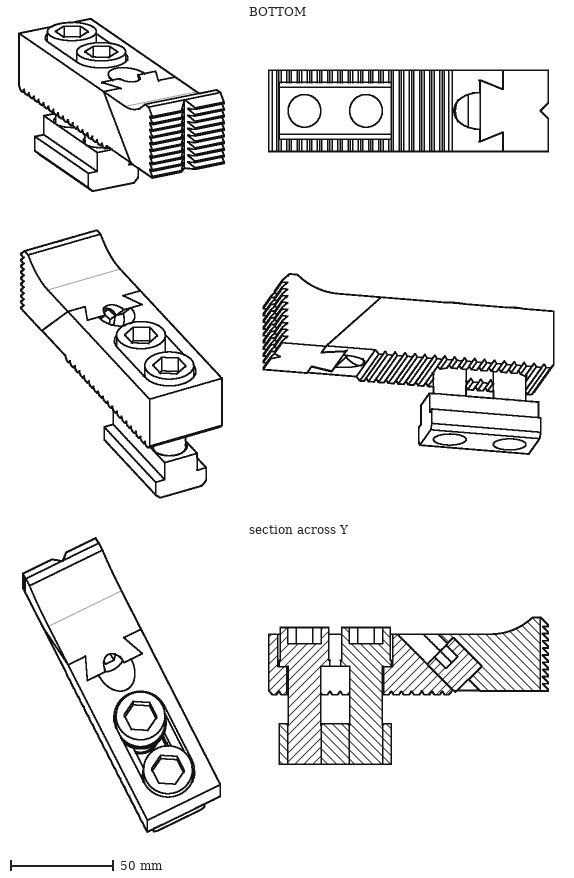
import cadquery as cq
import math

LENGTH = 137.0
WIDTH = 40.0
JAW_TOP = 72.0
BODY_TOP = 63.8
BODY_BASE = 36.2
JAW_BASE = 35.9
TOOTH_TIP = 34.1

SERRATED_LENGTH = 90.0
SERRATION_COUNT = 18
SERRATION_PITCH = SERRATED_LENGTH / SERRATION_COUNT
GROOVE_HALF_WIDTH = 1.1
GROOVE_DEPTH = 1.8
SERRATION_END_SLOPE = 1.8

JOINT_TOP_X = 87.0
DOVETAIL_DEPTH = 8.0
DOVETAIL_HALF_WIDTH = 15.1
DOVETAIL_FLANK = 60.0
NECK_HALF_WIDTH = DOVETAIL_HALF_WIDTH - DOVETAIL_DEPTH / math.tan(math.radians(DOVETAIL_FLANK))
TONGUE_TOP_X = JOINT_TOP_X - DOVETAIL_DEPTH * math.sqrt(2)

SCOOP_RADIUS = 30.0
CREST_START_X = 129.3
NOSE_CHAMFER = 3.7
NOTCH_DEPTH = 3.8
JAW_GROOVE_DEPTH = 2.7
JAW_GROOVE_COUNT = 9
JAW_GROOVE_SPAN = 28.1
JAW_GROOVE_PITCH = JAW_GROOVE_SPAN / (JAW_GROOVE_COUNT - 1)
HIGHEST_GROOVE_Z = 67.5

SCREW_SPACING = 30.1
FIRST_SCREW_X = 17.5
SCREW_X = [FIRST_SCREW_X, FIRST_SCREW_X + SCREW_SPACING]
SLOT_CENTRE_X = FIRST_SCREW_X + SCREW_SPACING / 2
SHANK_DIAMETER = 16.0
HEAD_DIAMETER = 24.0
HEAD_HEIGHT = 16.0
HEAD_TOP = 67.1
HEAD_SOCKET = 14.0
HEAD_SOCKET_DEPTH = 8.0
FLANGE_DIAMETER = 25.1
FLANGE_THICKNESS = 3.0
SLOT_FLOOR = HEAD_TOP - HEAD_HEIGHT - FLANGE_THICKNESS
HEAD_SLOT_WIDTH = 26.0
SHANK_SLOT_WIDTH = 17.0

NUT_LENGTH = 55.0
NUT_TOP = 20.0
NUT_STEP = 10.0
NUT_NECK_WIDTH = 18.0
NUT_FOOT_WIDTH = 28.0
NUT_CHAMFER = 2.5
NUT_COUNTERSINK_DIAMETER = 17.8

ADJUSTER_DIAMETER = 18.0
ADJUSTER_START = 11.8
ADJUSTER_LENGTH = 19.5
ADJUSTER_SOCKET = 8.1
ADJUSTER_SOCKET_DEPTH = 8.0
KEY_HOLE_DIAMETER = 10.0
OVERSHOOT = 27.4


def side_profile(points):
    """Extrude an X-Z outline over the full width."""
    return cq.Workplane("XZ").polyline(points).close().extrude(WIDTH / 2, both=True)


def joint_plane():
    """Plane square to the joint: local x is +Y, local y points into the jaw, normal runs down the slope."""
    return cq.Plane(origin=(TONGUE_TOP_X, 0, BODY_TOP), xDir=(0, 1, 0), normal=(1, 0, -1))


def sloping_cylinder(diameter, start, length):
    return (
        cq.Workplane(joint_plane())
        .workplane(offset=start)
        .circle(diameter / 2)
        .extrude(length)
    )


def hex_prism(workplane, across_flats, depth):
    return workplane.polygon(6, across_flats / math.cos(math.pi / 6)).extrude(depth)


def dovetail_tongue():
    """Dovetail bar running down the joint, longer than the joint at both ends."""
    slope_length = (BODY_TOP - JAW_BASE) * math.sqrt(2)
    return (
        cq.Workplane(joint_plane())
        .workplane(offset=-OVERSHOOT)
        .polyline([
            (-DOVETAIL_HALF_WIDTH, 0),
            (DOVETAIL_HALF_WIDTH, 0),
            (NECK_HALF_WIDTH, DOVETAIL_DEPTH),
            (-NECK_HALF_WIDTH, DOVETAIL_DEPTH),
        ])
        .close()
        .extrude(slope_length + 2 * OVERSHOOT)
    )


def slot(width, bottom, top):
    return (
        cq.Workplane("XY", origin=(SLOT_CENTRE_X, 0, bottom))
        .slot2D(SCREW_SPACING + width, width)
        .extrude(top - bottom)
    )


def make_body():
    outline = [
        (0, BODY_TOP),
        (0, BODY_BASE),
        (SERRATION_END_SLOPE, TOOTH_TIP),
    ]
    for number in range(1, SERRATION_COUNT):
        groove_x = number * SERRATION_PITCH
        outline += [
            (groove_x - GROOVE_HALF_WIDTH, TOOTH_TIP),
            (groove_x, TOOTH_TIP + GROOVE_DEPTH),
            (groove_x + GROOVE_HALF_WIDTH, TOOTH_TIP),
        ]
    outline += [
        (SERRATED_LENGTH - SERRATION_END_SLOPE, TOOTH_TIP),
        (SERRATED_LENGTH, BODY_BASE),
        (JOINT_TOP_X + BODY_TOP - BODY_BASE, BODY_BASE),
        (JOINT_TOP_X, BODY_TOP),
    ]
    through = 2 * OVERSHOOT + BODY_TOP
    return (
        side_profile(outline)
        .cut(dovetail_tongue())
        .cut(slot(HEAD_SLOT_WIDTH, SLOT_FLOOR, BODY_TOP))
        .cut(slot(SHANK_SLOT_WIDTH, TOOTH_TIP, BODY_TOP))
        .cut(sloping_cylinder(ADJUSTER_DIAMETER, -OVERSHOOT, through))
    )


def jaw_block():
    """Jaw without its tongue, bounded by the sloping joint plane."""
    rise = JAW_TOP - BODY_TOP
    scoop_run = math.sqrt(2 * SCOOP_RADIUS * rise - rise**2)
    scoop_start = CREST_START_X - scoop_run
    half_angle = math.asin(scoop_run / SCOOP_RADIUS) / 2
    scoop_middle = (
        scoop_start + SCOOP_RADIUS * math.sin(half_angle),
        BODY_TOP + SCOOP_RADIUS * (1 - math.cos(half_angle)),
    )
    return (
        cq.Workplane("XZ")
        .moveTo(JOINT_TOP_X, BODY_TOP)
        .lineTo(scoop_start, BODY_TOP)
        .threePointArc(scoop_middle, (CREST_START_X, JAW_TOP))
        .lineTo(LENGTH - NOSE_CHAMFER, JAW_TOP)
        .lineTo(LENGTH, JAW_TOP - NOSE_CHAMFER)
        .lineTo(LENGTH, JAW_BASE)
        .lineTo(JOINT_TOP_X + BODY_TOP - JAW_BASE, JAW_BASE)
        .close()
        .extrude(WIDTH / 2, both=True)
    )


def jaw_groove(top_z):
    """Groove with a level upper face and a 45 degree lower face."""
    return side_profile([
        (LENGTH - JAW_GROOVE_DEPTH, top_z),
        (LENGTH, top_z),
        (LENGTH, top_z - JAW_GROOVE_DEPTH),
    ])


def nose_notch():
    """Upright 90 degree V-notch in the gripping face."""
    return (
        cq.Workplane("XY")
        .polyline([
            (LENGTH - NOTCH_DEPTH, 0),
            (LENGTH, NOTCH_DEPTH),
            (LENGTH, -NOTCH_DEPTH),
        ])
        .close()
        .extrude(JAW_TOP)
    )


def make_jaw():
    height = BODY_TOP - JAW_BASE
    tongue_limits = cq.Workplane("XY", origin=(0, 0, JAW_BASE)).box(
        LENGTH, WIDTH, height, centered=(False, True, False)
    )
    jaw = jaw_block().union(dovetail_tongue().intersect(tongue_limits))
    for number in range(JAW_GROOVE_COUNT):
        jaw = jaw.cut(jaw_groove(HIGHEST_GROOVE_Z - number * JAW_GROOVE_PITCH))
    return (
        jaw.cut(nose_notch())
        .cut(sloping_cylinder(ADJUSTER_DIAMETER, ADJUSTER_START, ADJUSTER_LENGTH))
        .cut(sloping_cylinder(KEY_HOLE_DIAMETER, -OVERSHOOT, OVERSHOOT + ADJUSTER_START))
    )


def make_adjuster():
    socket_face = cq.Workplane(joint_plane()).workplane(offset=ADJUSTER_START)
    return sloping_cylinder(ADJUSTER_DIAMETER, ADJUSTER_START, ADJUSTER_LENGTH).cut(
        hex_prism(socket_face, ADJUSTER_SOCKET, ADJUSTER_SOCKET_DEPTH)
    )


def nut_hole(x):
    """Through hole with a 45 degree countersink at the top."""
    shank_radius = SHANK_DIAMETER / 2
    mouth_radius = NUT_COUNTERSINK_DIAMETER / 2
    countersink_depth = mouth_radius - shank_radius
    return (
        cq.Workplane("XZ", origin=(x, 0, 0))
        .polyline([
            (0, 0),
            (shank_radius, 0),
            (shank_radius, NUT_TOP - countersink_depth),
            (mouth_radius, NUT_TOP),
            (0, NUT_TOP),
        ])
        .close()
        .revolve(360, (0, 0), (0, 1))
    )


def make_nut():
    half_neck = NUT_NECK_WIDTH / 2
    half_foot = NUT_FOOT_WIDTH / 2
    nut = (
        cq.Workplane("YZ", origin=(SLOT_CENTRE_X, 0, 0))
        .polyline([
            (-half_neck, NUT_TOP),
            (half_neck, NUT_TOP),
            (half_neck, NUT_STEP),
            (half_foot, NUT_STEP),
            (half_foot, NUT_CHAMFER),
            (half_foot - NUT_CHAMFER, 0),
            (NUT_CHAMFER - half_foot, 0),
            (-half_foot, NUT_CHAMFER),
            (-half_foot, NUT_STEP),
            (-half_neck, NUT_STEP),
        ])
        .close()
        .extrude(NUT_LENGTH / 2, both=True)
    )
    for x in SCREW_X:
        nut = nut.cut(nut_hole(x))
    return nut


def make_screw(x):
    """Socket-head screw with a flange under its head; the shank ends flush with the nut's underside."""
    socket_face = cq.Workplane("XY", origin=(x, 0, HEAD_TOP))
    return (
        cq.Workplane("XY", origin=(x, 0, 0))
        .circle(SHANK_DIAMETER / 2)
        .extrude(SLOT_FLOOR)
        .faces(">Z").workplane()
        .circle(FLANGE_DIAMETER / 2)
        .extrude(FLANGE_THICKNESS)
        .faces(">Z").workplane()
        .circle(HEAD_DIAMETER / 2)
        .extrude(HEAD_HEIGHT)
        .cut(hex_prism(socket_face, HEAD_SOCKET, -HEAD_SOCKET_DEPTH))
    )


body = make_body()
jaw = make_jaw()
adjuster = make_adjuster()
nut = make_nut()
screws = [make_screw(x) for x in SCREW_X]

result = cq.Compound.makeCompound([
    body.val(),
    jaw.val(),
    adjuster.val(),
    nut.val(),
    *[screw.val() for screw in screws],
])